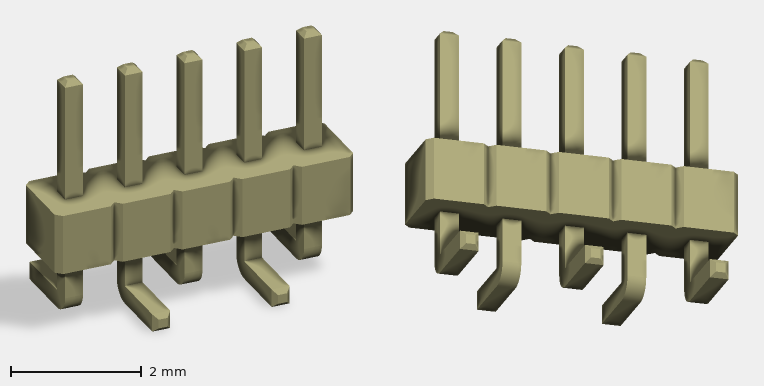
import cadquery as cq

pin_count = 5
pitch = 1.0

body_width = 1.27
body_height = 1.0
body_bottom = 1.0
corner_cut = 0.1
body_length = pin_count * pitch

pin_size = 0.3
pin_top = 4.0
foot_reach = 1.25
tip_chamfer = 0.075
bend_radius = pin_size


def pin_position(index):
    """Y of a pin, counted from the -Y end of the row."""
    return (index - (pin_count - 1) / 2) * pitch


def make_body():
    """One block per pin; the cut corners of neighbours meet as V notches."""
    body = cq.Workplane("XY")
    for index in range(pin_count):
        block = (
            cq.Workplane("XY", origin=(0, pin_position(index), body_bottom))
            .rect(body_width, pitch)
            .extrude(body_height)
            .edges("|Z")
            .chamfer(corner_cut)
        )
        body = body.union(block)
    return body


def make_pin():
    """L-shaped square pin centred on Y = 0, with its foot pointing to -X."""
    half = pin_size / 2
    pin = (
        cq.Workplane("XZ")
        .moveTo(-foot_reach, 0)
        .lineTo(half, 0)
        .lineTo(half, pin_top)
        .lineTo(-half, pin_top)
        .lineTo(-half, pin_size)
        .lineTo(-foot_reach, pin_size)
        .close()
        .extrude(half, both=True)
    )
    pin = pin.faces(">X").edges("<Z").fillet(bend_radius)
    pin = pin.faces(">Z").chamfer(tip_chamfer)
    return pin.faces("<X").chamfer(tip_chamfer)


left_pin = make_pin()
right_pin = left_pin.mirror("YZ")

result = make_body()
for pin_index in range(pin_count):
    pin_shape = left_pin if pin_index % 2 == 0 else right_pin
    result = result.union(pin_shape.translate((0, pin_position(pin_index), 0)))